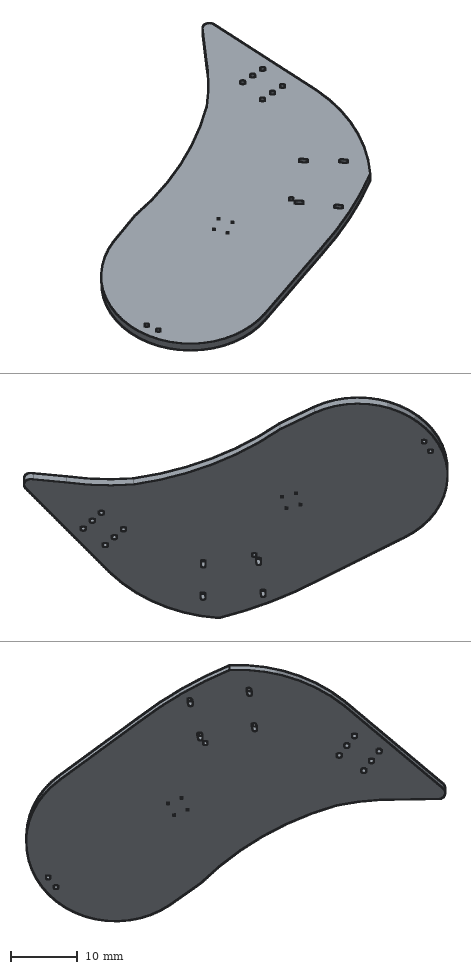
import cadquery as cq
import math

thickness = 1.58

end_radius = 13.40
left_tangent_angle = 168.0
right_tangent_angle = -14.0

tip_left = (-13.79, 46.65)
tip_crown = (-13.52, 48.19)
tip_right = (-12.55, 48.27)

upper_hollow_start = (-11.78, 42.10)
upper_hollow_mid = (-9.78, 37.40)
waist_top = (-8.44, 32.60)
waist_mid = (-8.30, 21.90)
left_knee = (-11.73, 8.60)

shoulder_start = (6.25, 40.80)
shoulder_mid = (13.97, 35.54)
right_corner = (19.06, 27.75)
flank_mid = (18.72, 21.40)
flank_end = (16.83, 11.60)

pin_diameter = 0.8
pin_pitch = 2.0
pin_row_spacing = 4.5
pins_per_row = 3
pin_block_centre = (-1.89, 39.38)
pin_block_tilt = -30.0

slot_length = 1.35
slot_width = 0.7
slot_tilt = 14.0
slot_centres = [(8.73, 27.01), (14.47, 28.84), (16.63, 20.08), (10.78, 18.98)]

small_diameter = 0.7
small_centres = [(9.43, 19.24), (-3.13, -11.31), (-1.15, -11.69)]

via_diameter = 0.3
via_pitch = 2.2
via_centre = (1.45, 10.96)


def point_on_end(angle):
    """Point on the round end at an angle in degrees from +X."""
    turn = math.radians(angle)
    return (end_radius * math.cos(turn), end_radius * math.sin(turn))


def make_plate():
    return (
        cq.Workplane("XY")
        .moveTo(*tip_left)
        .threePointArc(tip_crown, tip_right)
        .lineTo(*shoulder_start)
        .threePointArc(shoulder_mid, right_corner)
        .threePointArc(flank_mid, flank_end)
        .lineTo(*point_on_end(right_tangent_angle))
        .threePointArc((0, -end_radius), point_on_end(left_tangent_angle))
        .lineTo(*left_knee)
        .threePointArc(waist_mid, waist_top)
        .threePointArc(upper_hollow_mid, upper_hollow_start)
        .close()
        .extrude(thickness)
    )


def round_cutters(workplane, diameter):
    """Through cutters at every point on the workplane stack."""
    return workplane.circle(diameter / 2).extrude(thickness)


def pin_cutters():
    block = (
        cq.Workplane("XY")
        .center(*pin_block_centre)
        .transformed(rotate=(0, 0, pin_block_tilt))
        .rarray(pin_row_spacing, pin_pitch, 2, pins_per_row)
    )
    return round_cutters(block, pin_diameter)


def slot_cutters():
    return (
        cq.Workplane("XY")
        .pushPoints(slot_centres)
        .slot2D(slot_length, slot_width, slot_tilt)
        .extrude(thickness)
    )


def small_hole_cutters():
    return round_cutters(cq.Workplane("XY").pushPoints(small_centres), small_diameter)


def via_cutters():
    square = cq.Workplane("XY").center(*via_centre).rarray(via_pitch, via_pitch, 2, 2)
    return round_cutters(square, via_diameter)


result = (
    make_plate()
    .cut(pin_cutters())
    .cut(slot_cutters())
    .cut(small_hole_cutters())
    .cut(via_cutters())
)